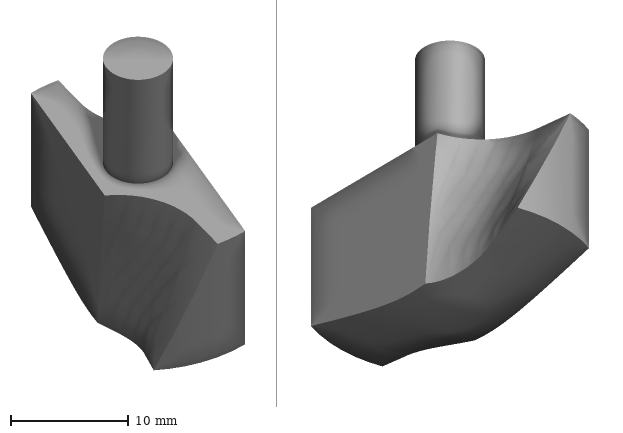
import cadquery as cq
import math

HEAD_DIAMETER = 26.5
BLADE_THICKNESS = 8.97
SHANK_DIAMETER = 6.0
TOTAL_HEIGHT = 27.6
SHANK_LENGTH = 11.25
POINT_SLOPE = math.radians(17.0)

LIP_WIDTH = 3.5
GULLET_RADIUS = 7.8
GULLET_SWEEP = math.radians(66.0)
HELIX_ANGLE = math.radians(25.3)
FLUTE_TOP_ANGLE = 7.0
CUT_MARGIN = 3.0

head_radius = HEAD_DIAMETER / 2
point_height = head_radius * math.tan(POINT_SLOPE)
head_height = TOTAL_HEIGHT - SHANK_LENGTH
twist_per_mm = math.degrees(math.tan(HELIX_ANGLE) / head_radius)


def make_blade():
    """Round head with a conical point at the origin, trimmed to a flat blade."""
    head = (
        cq.Workplane("XZ")
        .moveTo(0, 0)
        .lineTo(head_radius, point_height)
        .lineTo(head_radius, head_height)
        .lineTo(0, head_height)
        .close()
        .revolve(360, (0, 0, 0), (0, 1, 0))
    )
    slab = cq.Workplane("XY").box(
        HEAD_DIAMETER, BLADE_THICKNESS, head_height, centered=(True, True, False)
    )
    return head.intersect(slab)


def make_flute_cutter():
    """Twisted cutter for the flute on the +X, -Y side of the blade."""
    lip_end = head_radius - LIP_WIDTH

    def gullet_point(sweep):
        return (
            lip_end - GULLET_RADIUS * math.sin(sweep),
            GULLET_RADIUS * (math.cos(sweep) - 1),
        )

    outer_x = head_radius + CUT_MARGIN
    gullet_end = gullet_point(GULLET_SWEEP)
    floor_y = -BLADE_THICKNESS / 2 - CUT_MARGIN
    exit_run = (gullet_end[1] - floor_y) / math.tan(GULLET_SWEEP)
    return (
        cq.Workplane("XY")
        .moveTo(outer_x, 0)
        .lineTo(lip_end, 0)
        .threePointArc(gullet_point(GULLET_SWEEP / 2), gullet_end)
        .lineTo(gullet_end[0] - exit_run, floor_y)
        .lineTo(outer_x, floor_y)
        .close()
        .twistExtrude(head_height, twist_per_mm * head_height)
        .rotate((0, 0, 0), (0, 0, 1), FLUTE_TOP_ANGLE - twist_per_mm * head_height)
    )


def make_shank():
    """Cylindrical shank standing on the flat top of the head."""
    return (
        cq.Workplane("XY")
        .workplane(offset=head_height)
        .circle(SHANK_DIAMETER / 2)
        .extrude(SHANK_LENGTH)
    )


flute_cutter = make_flute_cutter()
blade = make_blade()
for flute_turn in (0, 180):
    blade = blade.cut(flute_cutter.rotate((0, 0, 0), (0, 0, 1), flute_turn))

result = blade.union(make_shank())